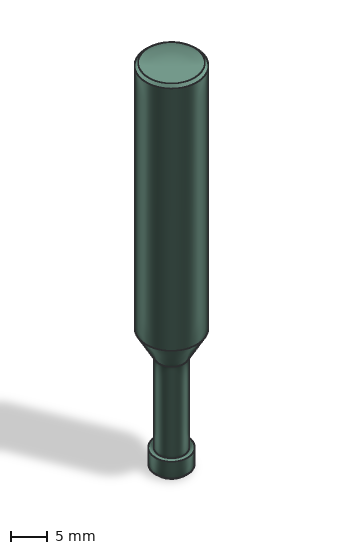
import cadquery as cq

total_length = 70.0
shank_diameter = 10.0
shank_chamfer = 0.5

head_diameter = 6.3
head_length = 3.5
head_chamfer = 0.6

neck_diameter = 4.8
neck_top = 19.3
cone_top = 24.15

shank_radius = shank_diameter / 2
head_radius = head_diameter / 2
neck_radius = neck_diameter / 2

profile = [
    (0, 0),
    (head_radius - head_chamfer, 0),
    (head_radius, head_chamfer),
    (head_radius, head_length),
    (neck_radius, head_length),
    (neck_radius, neck_top),
    (shank_radius, cone_top),
    (shank_radius, total_length - shank_chamfer),
    (shank_radius - shank_chamfer, total_length),
    (0, total_length),
]

result = cq.Workplane("XZ").polyline(profile).close().revolve(360, (0, 0), (0, 1))